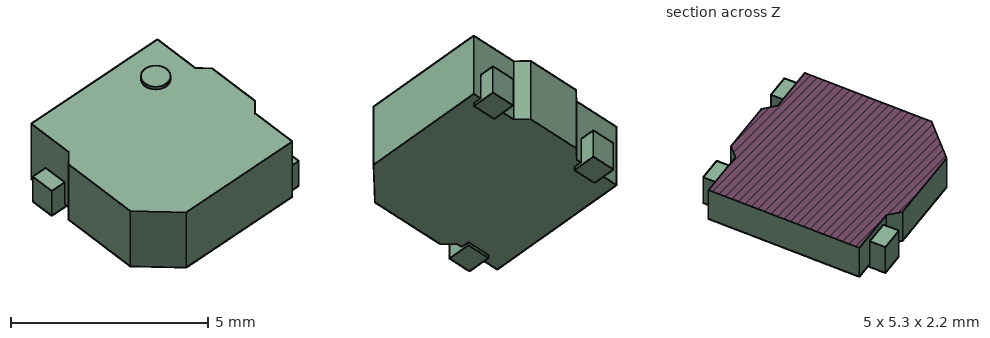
import cadquery as cq

body_size = 5.0
body_height = 2.0
overall_length = 5.3
standoff = 0.1

step_depth = 0.3
shoulder_width = 1.4
corner_chamfer = 1.0

terminal_width = 0.705
terminal_foot = 0.7
terminal_height = 0.9
left_terminal_inset = 0.54
right_terminal_inset = 0.245

mark_diameter = 0.75
mark_height = 0.1
mark_inset = 1.0

half_body = body_size / 2
half_length = overall_length / 2
shoulder_y = half_body - step_depth
shoulder_x = half_body - shoulder_width
middle_x = shoulder_x - step_depth


def make_body():
    """Block with stepped shoulders and one chamfered front corner."""
    outline = [
        (-half_body, -shoulder_y),
        (-shoulder_x, -shoulder_y),
        (-middle_x, -half_body),
        (half_body - corner_chamfer, -half_body),
        (half_body, -half_body + corner_chamfer),
        (half_body, shoulder_y),
        (shoulder_x, shoulder_y),
        (middle_x, half_body),
        (-middle_x, half_body),
        (-shoulder_x, shoulder_y),
        (-half_body, shoulder_y),
    ]
    return cq.Workplane("XY").workplane(offset=standoff).polyline(outline).close().extrude(body_height)


def make_terminal(center_x, side):
    """Terminal block at the back (side = 1) or front (side = -1), with its foot under the body."""
    center_y = side * (half_length - terminal_foot / 2)
    return (
        cq.Workplane("XY")
        .box(terminal_width, terminal_foot, terminal_height, centered=(True, True, False))
        .translate((center_x, center_y, 0))
    )


def make_mark():
    """Raised disc on the top face."""
    return (
        cq.Workplane("XY")
        .workplane(offset=standoff + body_height)
        .center(-half_body + mark_inset, shoulder_y - mark_inset)
        .circle(mark_diameter / 2)
        .extrude(mark_height)
    )


left_terminal_x = -half_body + left_terminal_inset + terminal_width / 2
right_terminal_x = half_body - right_terminal_inset - terminal_width / 2

result = make_body().union(make_mark())
for terminal_x, terminal_side in [(left_terminal_x, -1), (left_terminal_x, 1), (right_terminal_x, 1)]:
    result = result.union(make_terminal(terminal_x, terminal_side))